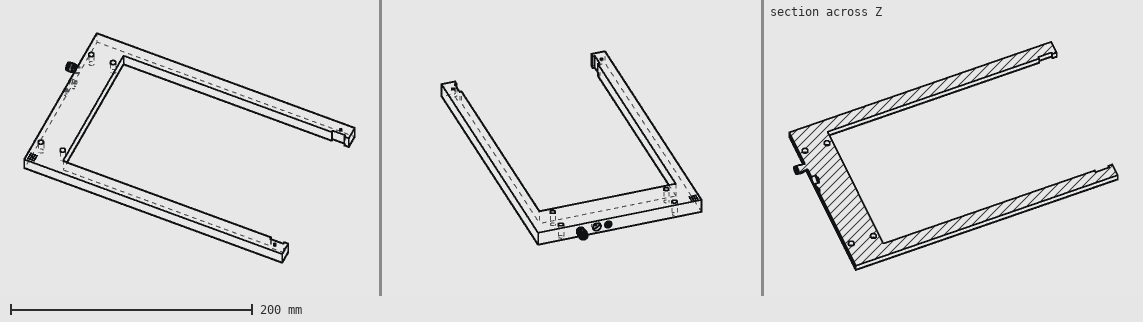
import cadquery as cq

total_length = 245.0
plug_length = 9.8
frame_length = total_length - plug_length
frame_width = 144.0
thickness = 12.0
arm_width = 12.0
bridge_depth = 30.0
gap_width = frame_width - 2 * arm_width

back_x = 0.0
tip_x = back_x + frame_length

mount_diameter = 4.5
mount_pitch_y = 100.0
mount_first_x = 5.1
mount_pitch_x = 19.8

notch_length = 11.8
notch_depth = 1.7
tip_lug_length = 4.0

arm_hole_diameter = 2.0
arm_hole_depth = 1.0
arm_hole_from_tip = 9.8
arm_hole_from_side = 6.5

dimple_diameter = 0.2
dimple_depth = 0.2
dimple_count = 4
dimple_pitch = 1.84
dimple_margin = 2.5

window_hole_diameter = 2.5
window_hole_depth = 0.7
lamp_y = 20.0
lamp_diameter = 7.0
lamp_depth = 4.0
adjuster_y = 10.0
adjuster_diameter = 6.0
adjuster_depth = 0.5

plug_y = 35.0
plug_outline = [
    (0, 6.4),
    (0.7, 7.0),
    (1.7, 7.0),
    (2.5, 7.5),
    (5.1, 7.5),
    (6.1, 6.5),
    (7.8, 6.5),
    (7.8, 6.9),
    (8.8, 6.9),
    (8.8, 6.0),
    (plug_length, 6.0),
]
socket_diameter = 5.6
socket_depth = 2.5

contact_diameter = 1.0
contact_places = [(-0.2, 1.5), (-0.2, -1.5), (-2.0, 0)]

key_diameter = 2.0
key_from_back = 2.2
key_y = 34.5
key_top = 3.7


def make_frame():
    plate = cq.Workplane("XY").box(frame_length, frame_width, thickness, centered=(False, True, True))
    gap = (
        cq.Workplane("XY")
        .box(frame_length, gap_width, thickness, centered=(False, True, True))
        .translate((bridge_depth, 0, 0))
    )
    return plate.cut(gap)


def make_notches():
    return (
        cq.Workplane("XY")
        .box(notch_length, gap_width + 2 * notch_depth, thickness, centered=(False, True, True))
        .translate((tip_x - tip_lug_length - notch_length, 0, 0))
    )


def make_mount_holes():
    centres = [
        (mount_first_x + column * mount_pitch_x, side * mount_pitch_y / 2)
        for column in (0, 1)
        for side in (-1, 1)
    ]
    return (
        cq.Workplane("XY", origin=(0, 0, -thickness / 2))
        .pushPoints(centres)
        .circle(mount_diameter / 2)
        .extrude(thickness)
    )


def make_arm_holes():
    hole_y = frame_width / 2 - arm_hole_from_side
    hole_x = tip_x - arm_hole_from_tip
    return (
        cq.Workplane("XY", origin=(0, 0, thickness / 2))
        .pushPoints([(hole_x, -hole_y), (hole_x, hole_y)])
        .circle(arm_hole_diameter / 2)
        .extrude(-arm_hole_depth)
    )


def make_dimples():
    first_x = back_x + dimple_margin
    first_y = -frame_width / 2 + dimple_margin
    centres = [
        (first_x + column * dimple_pitch, first_y + row * dimple_pitch)
        for column in range(dimple_count)
        for row in range(dimple_count)
    ]
    return (
        cq.Workplane("XY", origin=(0, 0, thickness / 2))
        .pushPoints(centres)
        .circle(dimple_diameter / 2)
        .extrude(-dimple_depth)
    )


def make_x_cylinder(start_x, centre_y, centre_z, diameter, length):
    return cq.Workplane("YZ", origin=(start_x, centre_y, centre_z)).circle(diameter / 2).extrude(length)


def make_window(centre_y, diameter, depth):
    recess = make_x_cylinder(back_x, centre_y, 0, diameter, depth)
    floor_hole = make_x_cylinder(back_x, centre_y, 0, window_hole_diameter, depth + window_hole_depth)
    return recess.union(floor_hole)


def make_plug():
    end_x = back_x - plug_length
    outline = [(end_x + distance, diameter / 2) for distance, diameter in plug_outline]
    plug = (
        cq.Workplane("XY", origin=(0, plug_y, 0))
        .polyline([(end_x, 0)] + outline + [(back_x, 0)])
        .close()
        .revolve(360, (0, 0, 0), (1, 0, 0))
    )
    plug = plug.cut(make_x_cylinder(end_x, plug_y, 0, socket_diameter, socket_depth))
    for offset_y, offset_z in contact_places:
        contact = make_x_cylinder(end_x, plug_y + offset_y, offset_z, contact_diameter, socket_depth)
        plug = plug.union(contact)
    key = (
        cq.Workplane("XY", origin=(back_x - key_from_back, key_y, 0))
        .circle(key_diameter / 2)
        .extrude(key_top)
    )
    return plug.union(key)


result = (
    make_frame()
    .cut(make_notches())
    .cut(make_mount_holes())
    .cut(make_arm_holes())
    .cut(make_dimples())
    .cut(make_window(lamp_y, lamp_diameter, lamp_depth))
    .cut(make_window(adjuster_y, adjuster_diameter, adjuster_depth))
    .union(make_plug())
)